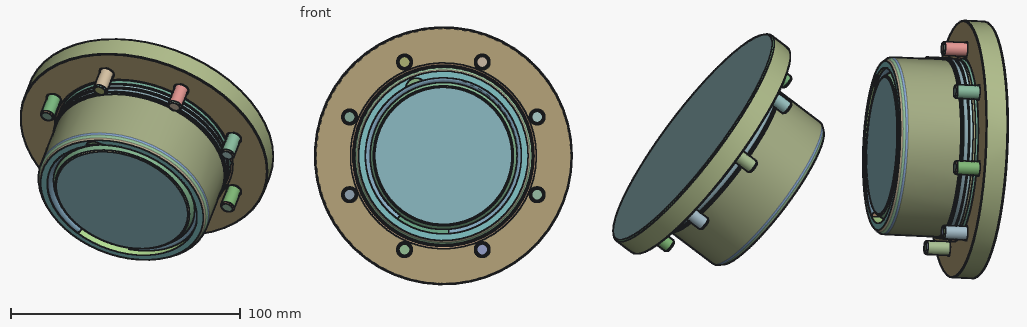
import cadquery as cq
import math


flange_radius = 56.0
flange_thickness = 10.0
flange_back_chamfer = 0.7
flange_front_chamfer = 0.3
seat_outer_radius = 40.4
seat_inner_radius = 39.4
seat_depth = 0.5

barrel_length = 43.8
barrel_radius = 38.6
bevel_round_length = 1.0
bevel_length = 2.9
bevel_start_radius = 38.4
bevel_middle_radius = 37.6
bevel_end_radius = 36.8
flat_bevel_length = 0.9
shoulder_depth = 16.9
shoulder_chamfer_length = 0.5

neck_radius = 38.6
collar_radius = 39.2
neck_depth = 10.8
collar_cone_end = 12.0
seal_groove_start = 13.4
seal_start = 13.8
seal_end = 16.1
seal_groove_radius = 38.4
seal_outer_radius = 39.4

bore_radius = 33.9
gap_depth = 5.0
plug_radius = 32.0
plug_rim_radius = 30.5
plug_face_radius = 29.8
plug_rim_drop = 0.5
plug_cone_drop = 2.9

thread_crest_radius = 31.8
thread_pitch = 3.0
thread_start_depth = 1.9
thread_width = 3.4
thread_start_angle = 234.0
thread_sweep_angle = 320.0
thread_root_overlap = 0.3

scallop_radius = 4.6
scallop_centre_radius = 31.5
scallop_angle = 112.0
scallop_depth = 0.6

pin_count = 8
pin_circle_radius = 44.1
pin_radius = 3.0
pin_end_depth = 20.5
pin_chamfer_length = 0.7
pin_chamfer_width = 0.6
pin_hole_radius = 3.4
pin_hole_depth = 0.6


def revolved(profile):
    """Turn a (radius, Y) profile in the XY plane about the Y axis."""
    return profile.close().revolve(360, (0, 0, 0), (0, 1, 0))


def cylinder(radius, start, end, across=(0, 0)):
    """A cylinder along Y between two depths, centred at an (X, Z) place."""
    return (
        cq.Workplane("XZ", origin=(0, -start, 0))
        .center(*across)
        .circle(radius)
        .extrude(end - start)
    )


def polar(radius, angle):
    """The (X, Z) place at a radius and an angle in degrees from +X towards +Z."""
    turn = math.radians(angle)
    return radius * math.cos(turn), radius * math.sin(turn)


def make_flange():
    flange = cylinder(flange_radius, 0, flange_thickness)
    flange = flange.faces(">Y").chamfer(flange_back_chamfer)
    flange = flange.faces("<Y").chamfer(flange_front_chamfer)
    seat_floor = -(flange_thickness - seat_depth)
    seat = revolved(
        cq.Workplane("XY")
        .moveTo(0, seat_floor)
        .lineTo(seat_inner_radius, seat_floor)
        .lineTo(seat_outer_radius, -flange_thickness)
        .lineTo(0, -flange_thickness)
    )
    return flange.cut(seat)


def make_barrel():
    seal_middle = (seal_start + seal_end) / 2
    bevel_depth = barrel_length - bevel_length
    barrel = revolved(
        cq.Workplane("XY")
        .moveTo(0, -flange_thickness / 2)
        .lineTo(seat_inner_radius, -flange_thickness / 2)
        .lineTo(seat_inner_radius, -(flange_thickness - seat_depth))
        .lineTo(neck_radius, -neck_depth)
        .lineTo(collar_radius, -collar_cone_end)
        .lineTo(collar_radius, -seal_groove_start)
        .lineTo(seal_groove_radius, -seal_groove_start)
        .lineTo(seal_groove_radius, -seal_start)
        .threePointArc(
            (seal_outer_radius, -seal_middle),
            (seal_groove_radius, -seal_end),
        )
        .lineTo(collar_radius, -seal_end)
        .lineTo(collar_radius, -shoulder_depth)
        .lineTo(barrel_radius, -(shoulder_depth + shoulder_chamfer_length))
        .lineTo(barrel_radius, -bevel_depth)
        .tangentArcPoint((bevel_start_radius, -(bevel_depth + bevel_round_length)), relative=False)
        .lineTo(bevel_middle_radius, -(barrel_length - flat_bevel_length))
        .lineTo(bevel_end_radius, -barrel_length)
        .lineTo(0, -barrel_length)
    )
    return barrel.cut(cylinder(bore_radius, barrel_length - gap_depth, barrel_length))


def make_plug():
    return revolved(
        cq.Workplane("XY")
        .moveTo(0, -flange_thickness)
        .lineTo(plug_radius, -flange_thickness)
        .lineTo(plug_radius, -(barrel_length - plug_cone_drop))
        .lineTo(plug_rim_radius, -(barrel_length - plug_rim_drop))
        .lineTo(plug_face_radius, -barrel_length)
        .lineTo(0, -barrel_length)
    )


def make_thread():
    """A right-hand ridge, made along +Z and then laid into the bore."""
    root_radius = bore_radius + thread_root_overlap
    height = thread_pitch * thread_sweep_angle / 360
    path = cq.Wire.makeHelix(thread_pitch, height, bore_radius)
    ridge = (
        cq.Workplane("XZ")
        .moveTo(root_radius, -thread_width / 2)
        .threePointArc((thread_crest_radius, 0), (root_radius, thread_width / 2))
        .close()
        .sweep(cq.Workplane(path), isFrenet=True)
    )
    ridge = ridge.rotate((0, 0, 0), (1, 0, 0), -90)
    ridge = ridge.rotate((0, 0, 0), (0, 1, 0), -thread_start_angle)
    return ridge.translate((0, -(barrel_length - thread_start_depth), 0))


def make_scallop():
    place = polar(scallop_centre_radius, scallop_angle)
    return cylinder(scallop_radius, barrel_length - scallop_depth, barrel_length, place)


def make_pin():
    """A pin on the Y axis with a bevelled tip; its root is buried in the flange."""
    root_depth = flange_thickness / 2
    bevel_depth = pin_end_depth - pin_chamfer_length
    return revolved(
        cq.Workplane("XY")
        .moveTo(0, -root_depth)
        .lineTo(pin_radius, -root_depth)
        .lineTo(pin_radius, -bevel_depth)
        .lineTo(pin_radius - pin_chamfer_width, -pin_end_depth)
        .lineTo(0, -pin_end_depth)
    )


result = make_flange().union(make_barrel().cut(make_scallop()))
result = result.union(make_thread()).union(make_plug())

pin_hole = cylinder(pin_hole_radius, flange_thickness - pin_hole_depth, flange_thickness)
for index in range(pin_count):
    pin_x, pin_z = polar(pin_circle_radius, (index + 0.5) * 360 / pin_count)
    pin_place = (pin_x, 0, pin_z)
    result = result.cut(pin_hole.translate(pin_place))
    result = result.union(make_pin().translate(pin_place))